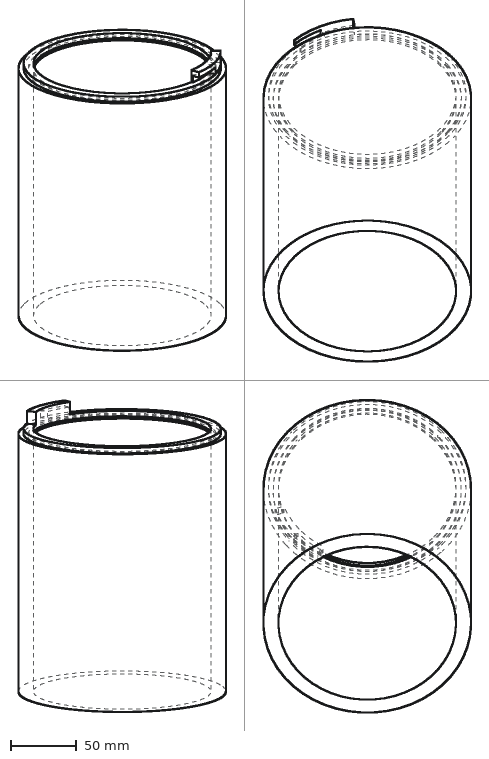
import cadquery as cq
import math

total_height = 213.5
body_diameter = 158.0
spigot_diameter = 150.0
bore_diameter = 135.0

spigot_height = 4.0
tab_height = 9.6
body_height = total_height - tab_height - spigot_height
shoulder_height = body_height + spigot_height

groove_diameter = 143.0
groove_height = 2.0

tab_start_angle = 20.0
tab_end_angle = 60.0
undercut_end_angle = 40.0
tab_diameter = 149.5
undercut_diameter = 137.5
lip_height = 4.3
tab_trim = 4.3


def cylinder(diameter, bottom, height):
    """Solid cylinder on the Z axis."""
    return cq.Workplane("XY").workplane(offset=bottom).circle(diameter / 2).extrude(height)


def ring_sector(outer_diameter, inner_diameter, start_angle, end_angle, bottom, height):
    """Piece of a tube between two angles about the Z axis, in degrees."""

    def at(diameter, angle):
        turn = math.radians(angle)
        return (diameter / 2 * math.cos(turn), diameter / 2 * math.sin(turn))

    middle_angle = (start_angle + end_angle) / 2
    return (
        cq.Workplane("XY")
        .workplane(offset=bottom)
        .moveTo(*at(inner_diameter, start_angle))
        .lineTo(*at(outer_diameter, start_angle))
        .threePointArc(at(outer_diameter, middle_angle), at(outer_diameter, end_angle))
        .lineTo(*at(inner_diameter, end_angle))
        .threePointArc(at(inner_diameter, middle_angle), at(inner_diameter, start_angle))
        .close()
        .extrude(height)
    )


body = cylinder(body_diameter, 0, body_height)
spigot = cylinder(spigot_diameter, body_height, spigot_height)

tab = ring_sector(
    tab_diameter,
    bore_diameter - tab_trim,
    tab_start_angle,
    tab_end_angle,
    shoulder_height,
    tab_height,
)

undercut = ring_sector(
    body_diameter,
    undercut_diameter,
    tab_start_angle,
    undercut_end_angle,
    shoulder_height,
    tab_height - lip_height,
)

bore = cylinder(bore_diameter, 0, total_height)
groove = cylinder(groove_diameter, body_height - groove_height, groove_height)

result = body.union(spigot).union(tab.cut(undercut)).cut(bore).cut(groove)